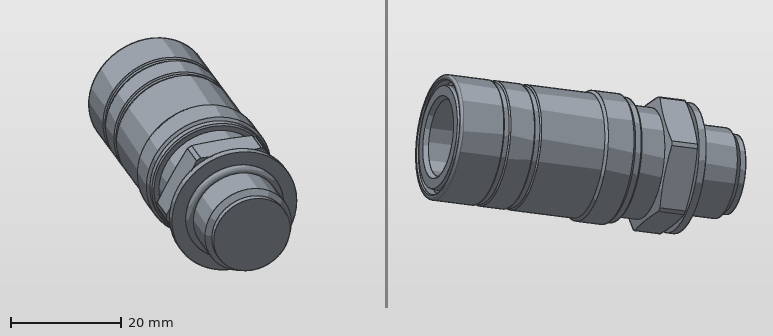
import cadquery as cq
import math

TOTAL_LENGTH = 57.2

SLEEVE_DIA = 23.0
SLEEVE_NOSE_ROUND = 0.45
GROOVE_DIA = 22.4
GROOVE_WALL_SLOPE = 0.25
GROOVE_WIDTH = 1.42
GROOVE_STARTS = (8.25, 14.25)

COLLAR_DIA = 24.0
COLLAR_START = 28.0
COLLAR_END = 34.0
COLLAR_CHAMFER = 0.5
LAND_END = 35.4
LAND_CHAMFER = 0.3

NECK_DIA = 20.5
HEX_START = 40.2
HEX_ACROSS_FLATS = 22.0
HEX_CORNER_DIA = 24.9
HEX_CHAMFER = 0.5

FLANGE_DIA = 24.0
FLANGE_START = 46.2
FLANGE_END = 47.6
SHOULDER_DIA = 18.8
SHOULDER_END = 48.8
THREAD_DIA = 16.66
TIP_DIA = 14.7
TIP_START = 56.1

RING_OUTER_DIA = 21.0
RING_DEPTH = 2.0
RING_EDGE_TAPER = 0.18
RING_EDGE_TAPER_LENGTH = 0.3
INSERT_DIA = 19.2
INSERT_FACE_DIA = 18.9
INSERT_TAPER_LENGTH = 0.6
SOCKET_DIA = 14.1
SOCKET_MOUTH_DIA = 15.2
SOCKET_MOUTH_DEPTH = 0.9
SOCKET_BOTTOM = COLLAR_START


def revolve_about_x(profile):
    """Revolve a closed XY profile a full turn about the X axis."""
    return profile.close().revolve(360, (0, 0, 0), (1, 0, 0))


def make_body():
    sleeve_r = SLEEVE_DIA / 2
    collar_r = COLLAR_DIA / 2
    neck_r = NECK_DIA / 2
    flange_r = FLANGE_DIA / 2
    thread_r = THREAD_DIA / 2
    shoulder_round = (SHOULDER_DIA - THREAD_DIA) / 2
    tip_r = TIP_DIA / 2
    shoulder_r = SHOULDER_DIA / 2
    nose = SLEEVE_NOSE_ROUND
    profile = (
        cq.Workplane("XY")
        .lineTo(0, sleeve_r - nose)
        .radiusArc((nose, sleeve_r), nose)
        .lineTo(COLLAR_START, sleeve_r)
        .lineTo(COLLAR_START + COLLAR_CHAMFER, collar_r)
        .lineTo(COLLAR_END - COLLAR_CHAMFER, collar_r)
        .lineTo(COLLAR_END, sleeve_r)
        .lineTo(LAND_END - LAND_CHAMFER, sleeve_r)
        .lineTo(LAND_END, sleeve_r - LAND_CHAMFER)
        .lineTo(LAND_END, neck_r)
        .lineTo(FLANGE_START, neck_r)
        .lineTo(FLANGE_START, flange_r)
        .lineTo(FLANGE_END, flange_r)
        .lineTo(FLANGE_END, shoulder_r)
        .lineTo(SHOULDER_END - shoulder_round, shoulder_r)
        .radiusArc((SHOULDER_END, thread_r), shoulder_round)
        .lineTo(TIP_START - (thread_r - tip_r), thread_r)
        .lineTo(TIP_START, tip_r)
        .lineTo(TOTAL_LENGTH, tip_r)
        .lineTo(TOTAL_LENGTH, 0)
    )
    return revolve_about_x(profile)


def make_hexagon():
    """Hexagon with corners on +/-Y, its corners turned down and both ends chamfered."""
    length = FLANGE_START - HEX_START
    corner_to_corner = HEX_ACROSS_FLATS / math.cos(math.pi / 6)
    prism = (
        cq.Workplane("YZ", origin=(HEX_START, 0, 0))
        .polygon(6, corner_to_corner)
        .extrude(length)
    )
    end_r = NECK_DIA / 2
    corner_r = HEX_CORNER_DIA / 2
    envelope = (
        cq.Workplane("XY", origin=(HEX_START, 0, 0))
        .lineTo(0, end_r)
        .lineTo(HEX_CHAMFER, corner_r)
        .lineTo(length - HEX_CHAMFER, corner_r)
        .lineTo(length, end_r)
        .lineTo(length, 0)
    )
    return prism.intersect(revolve_about_x(envelope))


def make_sleeve_groove(start):
    """Shallow outer groove with sloped walls."""
    sleeve_r = SLEEVE_DIA / 2
    floor_r = GROOVE_DIA / 2
    profile = (
        cq.Workplane("XY")
        .moveTo(start, sleeve_r)
        .lineTo(start + GROOVE_WALL_SLOPE, floor_r)
        .lineTo(start + GROOVE_WIDTH - GROOVE_WALL_SLOPE, floor_r)
        .lineTo(start + GROOVE_WIDTH, sleeve_r)
    )
    return revolve_about_x(profile)


def make_ring_groove():
    """Ring groove around the insert, tapered open at the mating face on both walls."""
    outer_r = RING_OUTER_DIA / 2
    insert_r = INSERT_DIA / 2
    profile = (
        cq.Workplane("XY")
        .moveTo(0, INSERT_FACE_DIA / 2)
        .lineTo(0, outer_r + RING_EDGE_TAPER)
        .lineTo(RING_EDGE_TAPER_LENGTH, outer_r)
        .lineTo(RING_DEPTH, outer_r)
        .lineTo(RING_DEPTH, insert_r)
        .lineTo(INSERT_TAPER_LENGTH, insert_r)
    )
    return revolve_about_x(profile)


def make_socket():
    """Blind round socket with a conical mouth."""
    profile = (
        cq.Workplane("XY")
        .lineTo(0, SOCKET_MOUTH_DIA / 2)
        .lineTo(SOCKET_MOUTH_DEPTH, SOCKET_DIA / 2)
        .lineTo(SOCKET_BOTTOM, SOCKET_DIA / 2)
        .lineTo(SOCKET_BOTTOM, 0)
    )
    return revolve_about_x(profile)


result = make_body().union(make_hexagon())
for groove_start in GROOVE_STARTS:
    result = result.cut(make_sleeve_groove(groove_start))
result = result.cut(make_ring_groove()).cut(make_socket())